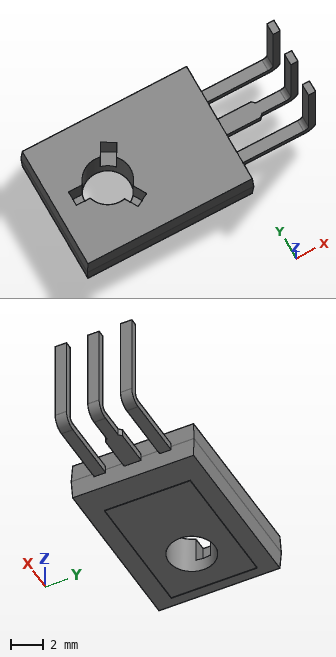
import cadquery as cq
import math

body_length = 11.78
body_width = 8.6
body_height = 2.68
side_taper = 0.07

pad_length = 9.0
pad_width = 6.0
pad_proud = 0.05
pad_start = 0.78

hole_diameter = 3.2
hole_x = 3.8
notch_count = 3
notch_reach = 2.5
notch_width = 1.0
notch_depth = 1.77

overall_length = 17.05
overall_height = 7.8
lead_pitch = 2.28
lead_width = 0.8
lead_thickness = 0.51
bend_inner_radius = 0.34
wide_lead_width = 1.2
wide_lead_end = 14.29

body_bottom = pad_proud
body_top = body_bottom + body_height
parting_z = body_bottom + body_height / 2
lead_root_x = body_length - 0.17


def make_body():
    """Two opposed tapering halves that meet at the parting plane."""
    half_height = body_height / 2
    taper_angle = math.degrees(math.atan(side_taper / half_height))
    section = (
        cq.Workplane("XY")
        .workplane(offset=parting_z)
        .center(body_length / 2, 0)
        .rect(body_length, body_width)
    )
    upper = section.extrude(half_height, taper=taper_angle)
    lower = upper.mirror("XY", (0, 0, parting_z))
    return upper.union(lower)


def make_pad():
    return cq.Workplane("XY").box(
        pad_length, pad_width, parting_z - lead_thickness, centered=(False, True, False)
    ).translate((pad_start, 0, 0))


def make_hole():
    return cq.Workplane("XY").center(hole_x, 0).circle(hole_diameter / 2).extrude(body_top)


def make_notch(angle):
    """Radial notch running from the hole axis to its flat outer end."""
    return (
        cq.Workplane("XY")
        .box(notch_reach, notch_width, notch_depth, centered=(False, True, False))
        .rotate((0, 0, 0), (0, 0, 1), angle)
        .translate((hole_x, 0, body_top - notch_depth))
    )


def make_lead(y):
    """Flat strip with a rounded right-angle bend."""
    bottom = parting_z - lead_thickness / 2
    top = bottom + lead_thickness
    inner_x = overall_length - lead_thickness
    outer_radius = bend_inner_radius + lead_thickness
    bend_x = overall_length - outer_radius
    bend_z = bottom + outer_radius
    diagonal = math.sqrt(0.5)
    outer_mid = (bend_x + outer_radius * diagonal, bend_z - outer_radius * diagonal)
    inner_mid = (bend_x + bend_inner_radius * diagonal, bend_z - bend_inner_radius * diagonal)
    return (
        cq.Workplane("XZ", origin=(0, y, 0))
        .moveTo(lead_root_x, bottom)
        .lineTo(bend_x, bottom)
        .threePointArc(outer_mid, (overall_length, bend_z))
        .lineTo(overall_length, overall_height)
        .lineTo(inner_x, overall_height)
        .lineTo(inner_x, bend_z)
        .threePointArc(inner_mid, (bend_x, top))
        .lineTo(lead_root_x, top)
        .close()
        .extrude(lead_width / 2, both=True)
    )


def make_wide_lead_root():
    """Wider start of the middle lead, with 45 degree shoulders."""
    half_wide = wide_lead_width / 2
    half_narrow = lead_width / 2
    shoulder_end = wide_lead_end + half_wide - half_narrow
    return (
        cq.Workplane("XY")
        .workplane(offset=parting_z - lead_thickness / 2)
        .polyline([
            (lead_root_x, -half_wide),
            (wide_lead_end, -half_wide),
            (shoulder_end, -half_narrow),
            (shoulder_end, half_narrow),
            (wide_lead_end, half_wide),
            (lead_root_x, half_wide),
        ])
        .close()
        .extrude(lead_thickness)
    )


result = make_body().union(make_pad()).cut(make_hole())
for index in range(notch_count):
    result = result.cut(make_notch(180 + index * 360 / notch_count))
for lead_y in (-lead_pitch, 0, lead_pitch):
    result = result.union(make_lead(lead_y))
result = result.union(make_wide_lead_root())